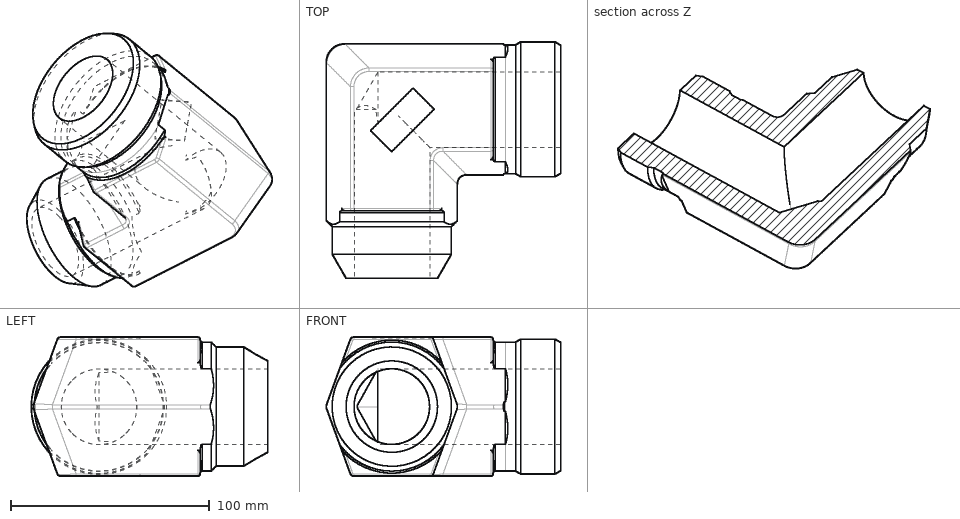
import cadquery as cq
import math

LEG_LENGTH = 85.0

BODY_HALF_HEIGHT = 35.0
FLANK_ANGLE = 20.0
APEX_HALF_WIDTH = 33.21
OUTER_BEND_RADIUS = 10.0
INNER_BEND_RADIUS = 5.0
APEX_RADIUS = 3.0
FLAT_EDGE_RADIUS = 1.9
SHOULDER = 51.0
SHOULDER_EDGE_RADIUS = 1.2

COLLAR_DIAMETER = 64.9
COLLAR_CORNER_RADIUS = 1.0
RIDGE_TRIM = 56.5

FLANK_END = 57.1
RAMP_ANGLE = 45.0
THREAD_DIAMETER = 68.0
THREAD_START = 62.2
THREAD_CHAMFER_ANGLE = 30.0
THREAD_TIP_CHAMFER = 1.73

SPIGOT_DIAMETER = 60.0
SPIGOT_TIP_DIAMETER = 46.0
SPIGOT_TAPER_ANGLE = 30.0

BORE_DIAMETER = 38.0
DRILL_HALF_ANGLE = 60.0
X_BORE_OVERRUN = 7.0
Y_BORE_OVERRUN = 0.0

PANEL_LENGTH = 30.2
PANEL_WIDTH = 15.0
PANEL_DEPTH = 0.4
PANEL_OFFSET = 5.3
PANEL_TURN = 45.0

COLLAR_RADIUS = COLLAR_DIAMETER / 2
THREAD_RADIUS = THREAD_DIAMETER / 2
SPIGOT_RADIUS = SPIGOT_DIAMETER / 2
BORE_RADIUS = BORE_DIAMETER / 2
FLANK_LEAN = math.radians(FLANK_ANGLE)
FLAT_HALF_WIDTH = APEX_HALF_WIDTH - BODY_HALF_HEIGHT * math.tan(FLANK_LEAN)
FLANK_FOOT_HEIGHT = APEX_HALF_WIDTH * math.cos(FLANK_LEAN) * math.sin(FLANK_LEAN)
SPIGOT_START = RIDGE_TRIM + COLLAR_RADIUS - SPIGOT_RADIUS
TOLERANCE = 0.001


def revolve_x(points):
    """Revolve an (axial, radial) outline about the X axis."""
    return cq.Workplane("XY").polyline(points).close().revolve(360, (0, 0, 0), (1, 0, 0))


def to_y_leg(shape):
    """Turn a shape built on the +X leg onto the -Y leg."""
    return shape.rotate((0, 0, 0), (0, 0, 1), -90)


def hexagon(plane):
    """Hexagonal body section about the plane origin, ridges to the sides."""
    return (
        plane.moveTo(APEX_HALF_WIDTH, 0)
        .lineTo(FLAT_HALF_WIDTH, BODY_HALF_HEIGHT)
        .lineTo(-FLAT_HALF_WIDTH, BODY_HALF_HEIGHT)
        .lineTo(-APEX_HALF_WIDTH, 0)
        .lineTo(-FLAT_HALF_WIDTH, -BODY_HALF_HEIGHT)
        .lineTo(FLAT_HALF_WIDTH, -BODY_HALF_HEIGHT)
        .close()
    )


def fillet_mitre(body, side, radius):
    """Round the mitre edges on the outer (side=1) or inner (side=-1) bend."""
    edges = [
        edge
        for edge in body.edges().vals()
        if abs(edge.Center().x + edge.Center().y) < TOLERANCE and edge.Center().y * side > 0
    ]
    return body.newObject(edges).fillet(radius)


def fillet_level(body, height, radius, x_end, y_end):
    """Round the lengthwise edges lying at one height, leaving the end faces sharp."""
    edges = [
        edge
        for edge in body.edges().vals()
        if abs(edge.Center().z - height) < TOLERANCE
        and edge.Center().x < x_end - TOLERANCE
        and edge.Center().y > TOLERANCE - y_end
    ]
    return body.newObject(edges).fillet(radius)


def hexagonal_elbow(x_end, y_end):
    """Rounded hexagonal elbow with plain end faces at the given leg lengths."""
    path = cq.Workplane("XY").moveTo(0, -y_end).lineTo(0, 0).lineTo(x_end, 0)
    body = hexagon(cq.Workplane("XZ", origin=(0, -y_end, 0))).sweep(path, transition="right")
    body = fillet_mitre(body, 1, OUTER_BEND_RADIUS)
    body = fillet_mitre(body, -1, INNER_BEND_RADIUS)
    body = fillet_level(body, BODY_HALF_HEIGHT, FLAT_EDGE_RADIUS, x_end, y_end)
    body = fillet_level(body, -BODY_HALF_HEIGHT, FLAT_EDGE_RADIUS, x_end, y_end)
    return fillet_level(body, 0, APEX_RADIUS, x_end, y_end)


def shouldered_body():
    """Elbow that stops at the end faces, with the end face edges rounded."""
    body = hexagonal_elbow(SHOULDER, SHOULDER)
    return body.faces(">X or <Y").edges().fillet(SHOULDER_EDGE_RADIUS)


def turned_collar(end, end_radius):
    """Collar with its root fillet on +X, narrowing past the ridge trim to the end radius."""
    corner = COLLAR_CORNER_RADIUS
    back = SHOULDER - SHOULDER_EDGE_RADIUS
    return (
        cq.Workplane("XY")
        .moveTo(back, 0)
        .lineTo(back, COLLAR_RADIUS + corner)
        .lineTo(SHOULDER, COLLAR_RADIUS + corner)
        .radiusArc((SHOULDER + corner, COLLAR_RADIUS), -corner)
        .lineTo(RIDGE_TRIM, COLLAR_RADIUS)
        .lineTo(end, end_radius)
        .lineTo(end, 0)
        .close()
        .revolve(360, (0, 0, 0), (1, 0, 0))
    )


def ridge_band():
    """Turned space around the flank ridges, which keep their full width."""
    back = SHOULDER - SHOULDER_EDGE_RADIUS
    trim_start = RIDGE_TRIM + COLLAR_RADIUS - APEX_HALF_WIDTH
    turned = revolve_x([
        (back, 0),
        (back, APEX_HALF_WIDTH),
        (trim_start, APEX_HALF_WIDTH),
        (SPIGOT_START, SPIGOT_RADIUS),
        (SPIGOT_START, 0),
    ])
    band = cq.Workplane("XY").box(2 * LEG_LENGTH, 2 * LEG_LENGTH, 2 * FLANK_FOOT_HEIGHT)
    return turned.intersect(band)


def flanks_within(turned_shape):
    """Flanks carried past the end faces, kept only inside a turned shape."""
    return hexagonal_elbow(FLANK_END, SPIGOT_START).intersect(turned_shape)


def flank_ramps():
    """X leg neck where the hexagonal flanks run out into the round collar."""
    neck_length = THREAD_START - FLANK_END
    section = hexagon(cq.Workplane("YZ", origin=(FLANK_END, 0, 0)))
    ramp = section.extrude(neck_length, taper=-RAMP_ANGLE)
    collar = cq.Workplane("YZ").circle(COLLAR_RADIUS).extrude(LEG_LENGTH)
    return ramp.intersect(collar)


def threaded_end():
    """Major diameter of the X leg with both chamfers, without thread turns."""
    slope = math.tan(math.radians(THREAD_CHAMFER_ANGLE))
    lead_in = (THREAD_RADIUS - COLLAR_RADIUS) / slope
    tip_length = THREAD_TIP_CHAMFER / slope
    return revolve_x([
        (THREAD_START, 0),
        (THREAD_START, COLLAR_RADIUS),
        (THREAD_START + lead_in, THREAD_RADIUS),
        (LEG_LENGTH - tip_length, THREAD_RADIUS),
        (LEG_LENGTH, THREAD_RADIUS - THREAD_TIP_CHAMFER),
        (LEG_LENGTH, 0),
    ])


def spigot():
    """Plain cylinder with a tapered nose on the Y leg."""
    tip_radius = SPIGOT_TIP_DIAMETER / 2
    taper_length = (SPIGOT_RADIUS - tip_radius) / math.tan(math.radians(SPIGOT_TAPER_ANGLE))
    return to_y_leg(revolve_x([
        (SPIGOT_START, 0),
        (SPIGOT_START, SPIGOT_RADIUS),
        (LEG_LENGTH - taper_length, SPIGOT_RADIUS),
        (LEG_LENGTH, tip_radius),
        (LEG_LENGTH, 0),
    ]))


def drilled_bore(overrun):
    """Blind bore from the X leg end with a conical drill point."""
    point_length = BORE_RADIUS / math.tan(math.radians(DRILL_HALF_ANGLE))
    return revolve_x([
        (LEG_LENGTH, 0),
        (LEG_LENGTH, BORE_RADIUS),
        (-overrun, BORE_RADIUS),
        (-overrun - point_length, 0),
    ])


def marking_panel():
    """Cutter for the shallow panel lying square to the mitre plane."""
    return (
        cq.Workplane("XY", origin=(0, 0, BODY_HALF_HEIGHT))
        .rect(PANEL_LENGTH, PANEL_WIDTH)
        .extrude(-PANEL_DEPTH)
        .rotate((0, 0, 0), (0, 0, 1), PANEL_TURN)
        .translate((PANEL_OFFSET, -PANEL_OFFSET, 0))
    )


result = (
    shouldered_body()
    .union(flanks_within(turned_collar(FLANK_END, COLLAR_RADIUS)))
    .union(flanks_within(ridge_band()))
    .union(flanks_within(to_y_leg(turned_collar(SPIGOT_START, SPIGOT_RADIUS))))
    .union(flanks_within(to_y_leg(ridge_band())))
    .union(flank_ramps())
    .union(threaded_end())
    .union(spigot())
    .cut(drilled_bore(X_BORE_OVERRUN))
    .cut(to_y_leg(drilled_bore(Y_BORE_OVERRUN)))
    .cut(marking_panel())
    .clean()
)